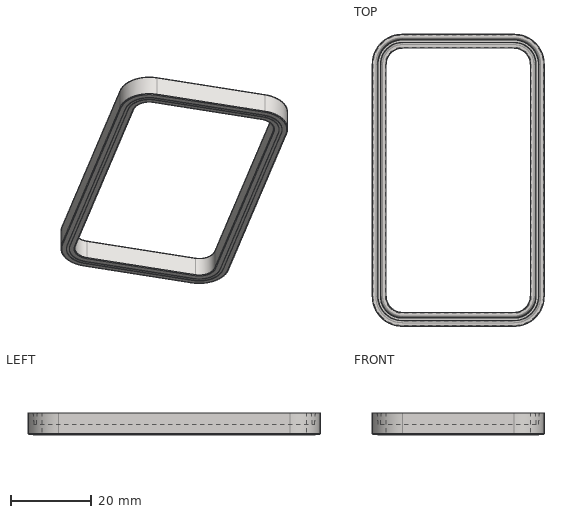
import cadquery as cq

length = 73.0
width = 43.0
height = 5.5
wall = 3.5
corner_radius = 7.5

rib_height = 0.11
rib_inset = 1.4
bevel_height = 0.18
bevel_inset = 0.2

groove_inset = 1.25
groove_floor_inset = 1.45
groove_depth = 2.9
mouth_fillet = 0.4


def rounded_block(bottom, top, bottom_inset, top_inset):
    """Rounded rectangular block whose sides run between two insets from the frame's outer face."""
    outlines = []
    for level, inset in ((bottom, bottom_inset), (top, top_inset)):
        outline = cq.Sketch().rect(width - 2 * inset, length - 2 * inset)
        outline = outline.vertices().fillet(corner_radius - inset)
        outlines.append(outline.moved(cq.Location(cq.Vector(0, 0, level))))
    return cq.Workplane("XY").placeSketch(*outlines).loft(ruled=True)


def wall_ring(bottom, top, bottom_inset, top_inset):
    """Ring centred in the wall, inset equally from the wall's outer and inner faces."""
    outer = rounded_block(bottom, top, bottom_inset, top_inset)
    opening = rounded_block(bottom, top, wall - bottom_inset, wall - top_inset)
    return outer.cut(opening)


def cut_groove(body):
    """Cut the groove into the top face and round its mouth."""
    groove = wall_ring(height - groove_depth, height, groove_floor_inset, groove_inset)
    body = body.cut(groove)
    outlines = sorted(body.faces(">Z").wires().vals(), key=lambda outline: outline.Length())
    mouth_edges = [edge for outline in outlines[1:3] for edge in outline.Edges()]
    return body.newObject(mouth_edges).fillet(mouth_fillet)


bevel_top = rib_height + bevel_height
main_wall = cut_groove(wall_ring(bevel_top, height, 0, 0))
bevel = wall_ring(rib_height, bevel_top, bevel_inset, 0)
rib = wall_ring(0, rib_height, rib_inset, rib_inset)

result = main_wall.union(bevel).union(rib)